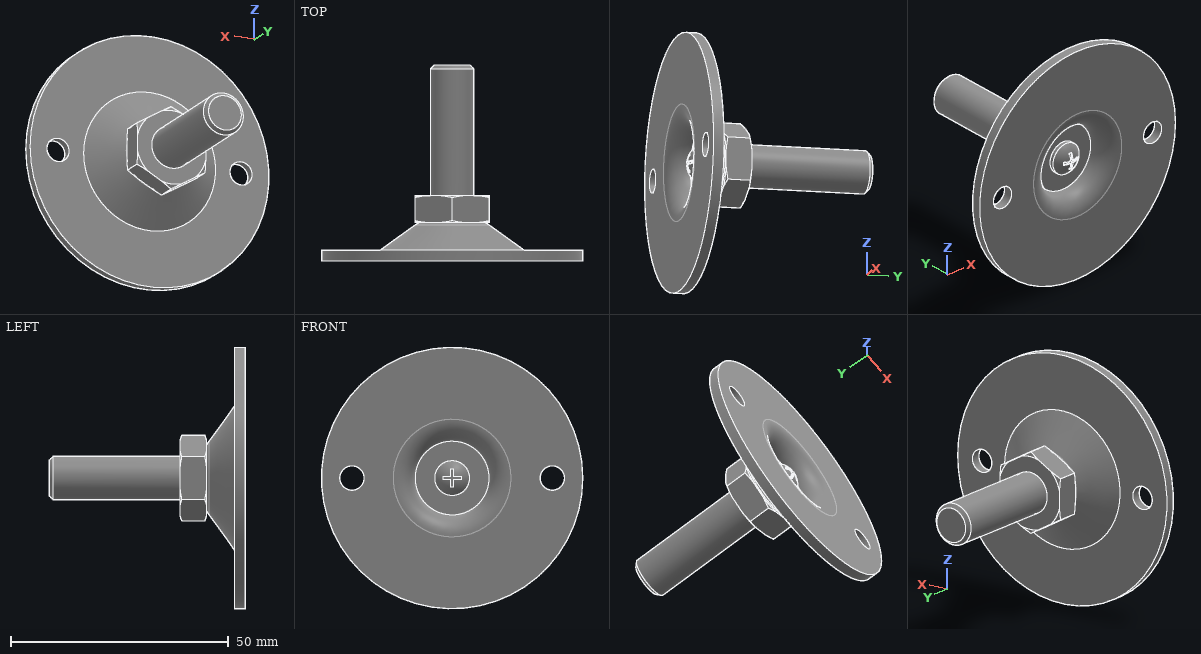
import cadquery as cq
import math

plate_diameter = 60
plate_thickness = 2.5
mount_hole_diameter = 5.5
mount_hole_offset = 23.0

cone_base_diameter = 33.1
cone_top_diameter = 16.9
cone_top_y = 8.35
neck_diameter = 15.25

nut_start_y = 8.9
nut_end_y = 15
nut_sides = 6
nut_across_flats = 17.1
nut_bevel_height = 0.4
nut_bevel_width = 1.1

stud_diameter = 10.0
stud_end_y = 45
stud_chamfer = 0.9

recess_floor_diameter = 16.9
recess_lip_radius = 5.05

screw_diameter = 8.0
screw_rim_height = 1.0
screw_dome_height = 2.05
cross_length = 4.2
cross_width = 0.65
cross_depth = 0.6


def cylinder(diameter, start_y, end_y):
    """Cylinder on the Y axis between two heights."""
    plane = cq.Workplane("XZ", origin=(0, start_y, 0))
    return plane.circle(diameter / 2).extrude(start_y - end_y)


def turned(profile):
    """Revolve a closed (radius, y) profile about the Y axis."""
    return profile.close().revolve(360, (0, 0, 0), (0, 1, 0))


def make_base():
    """Round plate with a raised cone and a short tapered neck."""
    return turned(
        cq.Workplane("XY")
        .lineTo(plate_diameter / 2, 0)
        .lineTo(plate_diameter / 2, plate_thickness)
        .lineTo(cone_base_diameter / 2, plate_thickness)
        .lineTo(cone_top_diameter / 2, cone_top_y)
        .lineTo(neck_diameter / 2, nut_start_y)
        .lineTo(0, nut_start_y)
    )


def make_nut():
    """Hexagonal nut with corners toward +Z and -Z, its corners bevelled at both ends."""
    corner_radius = nut_across_flats / 2 / math.cos(math.pi / nut_sides)
    end_radius = corner_radius - nut_bevel_width
    hexagon = (
        cq.Workplane("XZ", origin=(0, nut_start_y, 0))
        .polygon(nut_sides, 2 * corner_radius)
        .extrude(nut_start_y - nut_end_y)
        .rotate((0, 0, 0), (0, 1, 0), 180 / nut_sides)
    )
    bevelled_blank = turned(
        cq.Workplane("XY")
        .moveTo(0, nut_start_y)
        .lineTo(end_radius, nut_start_y)
        .lineTo(corner_radius, nut_start_y + nut_bevel_height)
        .lineTo(corner_radius, nut_end_y - nut_bevel_height)
        .lineTo(end_radius, nut_end_y)
        .lineTo(0, nut_end_y)
    )
    return hexagon.intersect(bevelled_blank)


def make_recess():
    """Round pocket whose wall is a convex quarter arc flaring out to the sole."""
    floor_radius = recess_floor_diameter / 2
    lip_centre_radius = floor_radius + recess_lip_radius
    return turned(
        cq.Workplane("XY")
        .lineTo(lip_centre_radius, 0)
        .radiusArc((floor_radius, recess_lip_radius), recess_lip_radius)
        .lineTo(0, recess_lip_radius)
    )


def make_screw_head():
    """Domed head standing on the recess floor, with a cross slot in its crown."""
    floor_y = recess_lip_radius
    rim_y = floor_y - screw_rim_height
    crown_y = rim_y - screw_dome_height
    radius = screw_diameter / 2
    dome_radius = (radius**2 + screw_dome_height**2) / (2 * screw_dome_height)
    head = turned(
        cq.Workplane("XY")
        .moveTo(0, floor_y)
        .lineTo(radius, floor_y)
        .lineTo(radius, rim_y)
        .radiusArc((0, crown_y), dome_radius)
    )
    for length_x, length_z in ((cross_length, cross_width), (cross_width, cross_length)):
        slot = cq.Workplane("XY").box(length_x, 2 * cross_depth, length_z)
        head = head.cut(slot.translate((0, crown_y, 0)))
    return head


stud = cylinder(stud_diameter, nut_end_y, stud_end_y).faces(">Y").chamfer(stud_chamfer)
foot = make_base().union(make_nut()).union(stud)
foot = foot.cut(make_recess()).union(make_screw_head())
for side in (-1, 1):
    hole = cylinder(mount_hole_diameter, 0, plate_thickness)
    foot = foot.cut(hole.translate((side * mount_hole_offset, 0, 0)))

result = foot